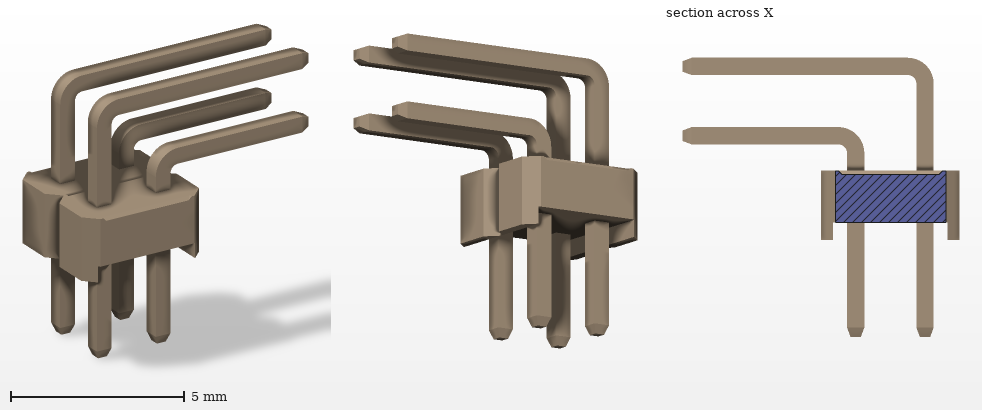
import cadquery as cq
import math


pitch = 2.0
columns = 2
rows = 2

cell_width = pitch
housing_depth = rows * pitch
housing_height = 2.0
cell_chamfer = 0.4
foot_depth = 0.35
foot_height = 0.5

notch_length = 3.0
notch_depth = 0.1
notch_half_width = notch_depth

pin_size = 0.5
tip_length = 0.27
tip_size = 0.3
leg_end_z = -2.8
arm_end_y = 6.0
lowest_arm_z = 3.0
bend_inner_radius = 0.25
bend_outer_radius = bend_inner_radius + pin_size


def centred_positions(count):
    return [(i - (count - 1) / 2) * pitch for i in range(count)]


def make_cell(x):
    """Octagonal housing block around one column of pins."""
    return (
        cq.Workplane("XY")
        .box(cell_width, housing_depth, housing_height, centered=(True, True, False))
        .edges("|Z")
        .chamfer(cell_chamfer)
        .translate((x, 0, 0))
    )


def make_notch(x):
    """V-groove along Y, cut into the housing top, with sloping ends."""
    floor_z = housing_height - notch_depth
    half_length = notch_length / 2
    v_groove = (
        cq.Workplane("XZ")
        .moveTo(x - notch_half_width, housing_height)
        .lineTo(x + notch_half_width, housing_height)
        .lineTo(x, floor_z)
        .close()
        .extrude(half_length, both=True)
    )
    end_slopes = (
        cq.Workplane("YZ", origin=(x, 0, 0))
        .moveTo(-half_length, housing_height)
        .lineTo(half_length, housing_height)
        .lineTo(half_length - notch_depth, floor_z)
        .lineTo(-half_length + notch_depth, floor_z)
        .close()
        .extrude(notch_half_width, both=True)
    )
    return v_groove.intersect(end_slopes)


def make_housing():
    """Row of joined cells, standing on feet at the front and back."""
    column_xs = centred_positions(columns)
    housing = make_cell(column_xs[0])
    for x in column_xs[1:]:
        housing = housing.union(make_cell(x))
    channel = cq.Workplane("XY").box(
        columns * cell_width,
        housing_depth - 2 * foot_depth,
        foot_height,
        centered=(True, True, False),
    )
    housing = housing.cut(channel)
    for x in centred_positions(columns + 1):
        housing = housing.cut(make_notch(x))
    return housing


def make_tip(base_plane):
    """Tapered pin end that grows along the normal of the given plane."""
    taper_angle = math.degrees(math.atan2((pin_size - tip_size) / 2, tip_length))
    return cq.Workplane(base_plane).rect(pin_size, pin_size).extrude(tip_length, taper=taper_angle)


def make_pin(x, y, arm_z):
    """Square pin: a leg down through the housing, a bend, and an arm along +Y."""
    half = pin_size / 2
    front_y = y - half
    back_y = y + half
    arm_top = arm_z + half
    arm_bottom = arm_z - half
    bend_y = back_y + bend_inner_radius
    bend_z = arm_bottom - bend_inner_radius
    leg_bottom = leg_end_z + tip_length
    arm_back = arm_end_y - tip_length
    outer_offset = bend_outer_radius * math.sqrt(0.5)
    inner_offset = bend_inner_radius * math.sqrt(0.5)
    pin = (
        cq.Workplane("YZ", origin=(x, 0, 0))
        .moveTo(front_y, leg_bottom)
        .lineTo(front_y, bend_z)
        .threePointArc((bend_y - outer_offset, bend_z + outer_offset), (bend_y, arm_top))
        .lineTo(arm_back, arm_top)
        .lineTo(arm_back, arm_bottom)
        .lineTo(bend_y, arm_bottom)
        .threePointArc((bend_y - inner_offset, bend_z + inner_offset), (back_y, bend_z))
        .lineTo(back_y, leg_bottom)
        .close()
        .extrude(half, both=True)
    )
    leg_tip = make_tip(cq.Plane(origin=(x, y, leg_bottom), xDir=(1, 0, 0), normal=(0, 0, -1)))
    arm_tip = make_tip(cq.Plane(origin=(x, arm_back, arm_z), xDir=(1, 0, 0), normal=(0, 1, 0)))
    return pin.union(leg_tip).union(arm_tip)


result = make_housing()
for column_x in centred_positions(columns):
    for level, row_y in enumerate(reversed(centred_positions(rows))):
        result = result.union(make_pin(column_x, row_y, lowest_arm_z + level * pitch))